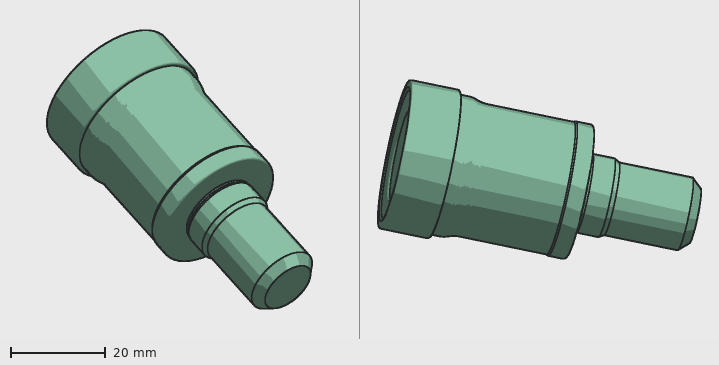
import cadquery as cq
import math

TOTAL_LENGTH = 65.0

CAP_RADIUS = 32.05 / 2
CAP_LENGTH = 10.8
CAP_FRONT_ROUND = 0.3
CAP_REAR_ROUND = 0.5
RIM_INNER_RADIUS = 28.9 / 2
DISH_OUTER_RADIUS = 27.55 / 2
DISH_OUTER_DEPTH = 0.3
DISH_INNER_DEPTH = 0.6
BORE_RADIUS = 19.1 / 2
LIP_WIDTH = 1.3
LIP_DEPTH = 0.6
SPIGOT_START = DISH_INNER_DEPTH + LIP_DEPTH

COLLAR_RADIUS = 30.2 / 2
BARREL_RADIUS = 28.6 / 2
COLLAR_END = 12.95
COLLAR_ARC_LENGTH = 1.35
BARREL_ARC_LENGTH = 1.95
BLEND_ANGLE = math.radians(20)

BAND_RADIUS = 29.0 / 2
BARREL_END = 35.8
BAND_START = 36.2
BAND_END = 40.0
BAND_ROUND = 0.6

NECK_RADIUS = 16.65 / 2
NECK_END = 40.5
SHOULDER_RADIUS = 17.0 / 2
SHOULDER_START = 41.1
SHOULDER_END = 45.8
STEM_RADIUS = 15.7 / 2
STEM_START = 46.9
TIP_RADIUS = 5.9
TIP_CHAMFER_LENGTH = 2.15


def arc_point(center, radius, angle):
    """Point on a circle in the (X, radius) profile plane."""
    return (center[0] + radius * math.cos(angle), center[1] + radius * math.sin(angle))


def revolve_about_x(profile):
    return profile.close().revolve(360, (0, 0, 0), (1, 0, 0))


def make_cap():
    lip_arc = (LIP_WIDTH**2 + LIP_DEPTH**2) / (2 * LIP_DEPTH)
    lip_sweep = math.asin(LIP_WIDTH / lip_arc)
    lip_start = (DISH_INNER_DEPTH, BORE_RADIUS + LIP_WIDTH)
    lip_center = (DISH_INNER_DEPTH + lip_arc, lip_start[1])
    lip_middle = arc_point(lip_center, lip_arc, math.pi + lip_sweep / 2)
    front_center = (CAP_FRONT_ROUND, CAP_RADIUS - CAP_FRONT_ROUND)
    front_middle = arc_point(front_center, CAP_FRONT_ROUND, math.radians(135))
    rear_center = (CAP_LENGTH - CAP_REAR_ROUND, CAP_RADIUS - CAP_REAR_ROUND)
    rear_middle = arc_point(rear_center, CAP_REAR_ROUND, math.radians(45))
    profile = (
        cq.Workplane("XY")
        .moveTo(CAP_LENGTH, BORE_RADIUS)
        .lineTo(SPIGOT_START, BORE_RADIUS)
        .threePointArc(lip_middle, lip_start)
        .lineTo(DISH_OUTER_DEPTH, DISH_OUTER_RADIUS)
        .lineTo(0, RIM_INNER_RADIUS)
        .lineTo(0, front_center[1])
        .threePointArc(front_middle, (front_center[0], CAP_RADIUS))
        .lineTo(rear_center[0], CAP_RADIUS)
        .threePointArc(rear_middle, (CAP_LENGTH, rear_center[1]))
    )
    return revolve_about_x(profile)


def add_barrel_blend(profile):
    """Continue from the collar: outward arc, cone and inward arc, all tangent, down to the barrel."""
    arc_drop_per_length = math.tan(BLEND_ANGLE / 2)
    collar_arc_drop = COLLAR_ARC_LENGTH * arc_drop_per_length
    barrel_arc_drop = BARREL_ARC_LENGTH * arc_drop_per_length
    cone_drop = COLLAR_RADIUS - BARREL_RADIUS - collar_arc_drop - barrel_arc_drop
    cone_start = (COLLAR_END + COLLAR_ARC_LENGTH, COLLAR_RADIUS - collar_arc_drop)
    cone_end = (cone_start[0] + cone_drop / math.tan(BLEND_ANGLE), cone_start[1] - cone_drop)
    barrel_start = (cone_end[0] + BARREL_ARC_LENGTH, BARREL_RADIUS)

    collar_arc = COLLAR_ARC_LENGTH / math.sin(BLEND_ANGLE)
    collar_center = (COLLAR_END, COLLAR_RADIUS - collar_arc)
    collar_middle = arc_point(collar_center, collar_arc, (math.pi - BLEND_ANGLE) / 2)
    barrel_arc = BARREL_ARC_LENGTH / math.sin(BLEND_ANGLE)
    barrel_center = (barrel_start[0], BARREL_RADIUS + barrel_arc)
    barrel_middle = arc_point(barrel_center, barrel_arc, -(math.pi + BLEND_ANGLE) / 2)
    return (
        profile.threePointArc(collar_middle, cone_start)
        .lineTo(*cone_end)
        .threePointArc(barrel_middle, barrel_start)
    )


def make_body():
    profile = (
        cq.Workplane("XY")
        .moveTo(SPIGOT_START, 0)
        .lineTo(SPIGOT_START, BORE_RADIUS)
        .lineTo(CAP_LENGTH, BORE_RADIUS)
        .lineTo(CAP_LENGTH, COLLAR_RADIUS)
        .lineTo(COLLAR_END, COLLAR_RADIUS)
    )
    profile = add_barrel_blend(profile)
    band_center = (BAND_END - BAND_ROUND, BAND_RADIUS - BAND_ROUND)
    band_middle = arc_point(band_center, BAND_ROUND, math.radians(45))
    profile = (
        profile.lineTo(BARREL_END, BARREL_RADIUS)
        .lineTo(BAND_START, BAND_RADIUS)
        .lineTo(band_center[0], BAND_RADIUS)
        .threePointArc(band_middle, (BAND_END, band_center[1]))
        .lineTo(BAND_END, NECK_RADIUS)
        .lineTo(NECK_END, NECK_RADIUS)
        .lineTo(SHOULDER_START, SHOULDER_RADIUS)
        .lineTo(SHOULDER_END, SHOULDER_RADIUS)
        .lineTo(STEM_START, STEM_RADIUS)
        .lineTo(TOTAL_LENGTH - TIP_CHAMFER_LENGTH, STEM_RADIUS)
        .lineTo(TOTAL_LENGTH, TIP_RADIUS)
        .lineTo(TOTAL_LENGTH, 0)
    )
    return revolve_about_x(profile)


cap = make_cap()
body = make_body()

result = cq.Compound.makeCompound([cap.val(), body.val()])